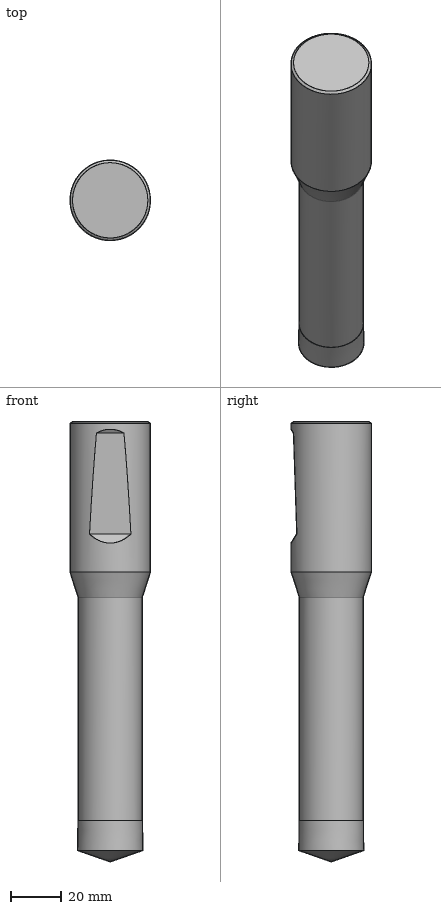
import cadquery as cq

total_height = 175.0

grip_radius = 32.0 / 2
shank_radius = 25.5 / 2
grip_length = 59.8
shoulder_length = 10.0
top_edge_inset = 1.0
top_edge_drop = 0.7

tip_radius = 26.0 / 2
tip_neck_radius = 25.7 / 2
point_height = 4.5
head_height = 11.9

flat_top_distance = 4.5
flat_length = 40.0
flat_top_depth = 0.96
flat_bottom_depth = 2.3
end_slope = 1.6
cutter_margin = 1.8

split_z = point_height + head_height
shoulder_top_z = total_height - grip_length
shoulder_bottom_z = shoulder_top_z - shoulder_length


def revolve_profile(points):
    """Turn a closed (radius, z) outline around the Z axis."""
    return cq.Workplane("XZ").polyline(points).close().revolve(360, (0, 0, 0), (0, 1, 0))


def make_flat_cutter():
    """Prism that removes the sloping flat and its two inclined end faces."""
    top_z = total_height - flat_top_distance
    bottom_z = top_z - flat_length
    outer_y = -grip_radius - cutter_margin
    top_run = end_slope * (flat_top_depth + cutter_margin)
    bottom_run = end_slope * (flat_bottom_depth + cutter_margin)
    outline = [
        (outer_y, top_z + top_run),
        (-grip_radius + flat_top_depth, top_z),
        (-grip_radius + flat_bottom_depth, bottom_z),
        (outer_y, bottom_z - bottom_run),
    ]
    return cq.Workplane("YZ").polyline(outline).close().extrude(grip_radius, both=True)


def make_holder():
    """Stepped round bar with a bevelled top edge and one sloping flat."""
    outline = [
        (0, split_z),
        (shank_radius, split_z),
        (shank_radius, shoulder_bottom_z),
        (grip_radius, shoulder_top_z),
        (grip_radius, total_height - top_edge_drop),
        (grip_radius - top_edge_inset, total_height),
        (0, total_height),
    ]
    return revolve_profile(outline).cut(make_flat_cutter())


def make_tip():
    """Flared head that carries on from the shank and ends in a point."""
    outline = [
        (0, 0),
        (tip_radius, point_height),
        (tip_neck_radius, split_z),
        (0, split_z),
    ]
    return revolve_profile(outline)


holder = make_holder()
tip = make_tip()

result = cq.Compound.makeCompound([holder.val(), tip.val()])